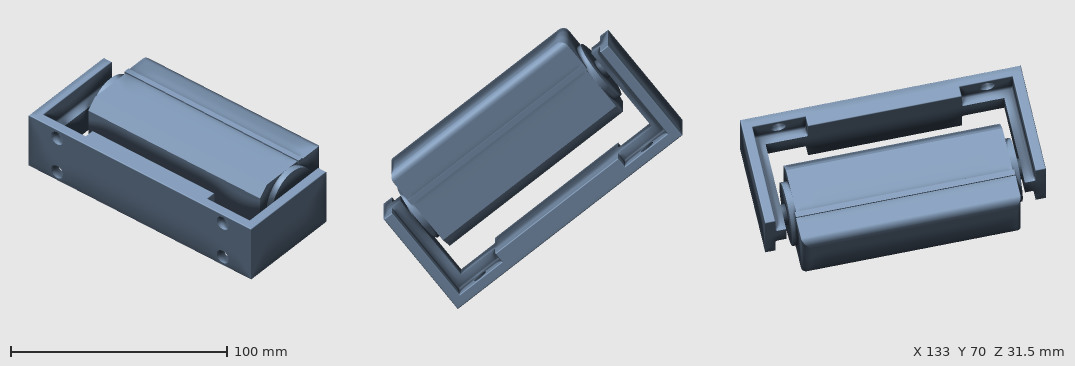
import cadquery as cq

height = 30.0

bracket_width = 133.0
bracket_depth = 54.9
bracket_wall = 10.0
rim_wall = 4.9
web_height = 10.0
pocket_end = 30.0
edge_radius = 0.45
floor_radius = 1.0

hole_diameter = 7.0
hole_spacing_x = 99.0
hole_spacing_z = 20.0

body_width = 102.5
body_front = 25.0
body_chamfer = 5.0
head_width = 104.0
head_back = 70.0
head_radius = 4.0
band_front = 52.4
band_length = 2.8
band_height = 31.5

pivot_y = 45.0
disc_diameter = height
disc_span = 108.8
pin_diameter = 10.0

arm_gap = bracket_width - 2 * bracket_wall


def block(width, y_start, y_end, z_size):
    """Box centred on X and Z, reaching from y_start to y_end."""
    length = y_end - y_start
    return cq.Workplane("XY").box(width, length, z_size).translate((0, y_start + length / 2, 0))


def pivot_cylinder(diameter, length):
    """Cylinder along X, centred on the pivot axis."""
    return (
        cq.Workplane("YZ", origin=(-length / 2, pivot_y, 0))
        .circle(diameter / 2)
        .extrude(length)
    )


def corner_pocket():
    """Cutter for the upper recess in the left corner, with its floor edges rounded."""
    depth = (height - web_height) / 2
    arm_outside = -bracket_width / 2
    footprint = [
        (arm_outside + rim_wall, rim_wall),
        (arm_outside + pocket_end, rim_wall),
        (arm_outside + pocket_end, bracket_wall),
        (arm_outside + bracket_wall, bracket_wall),
        (arm_outside + bracket_wall, bracket_depth),
        (arm_outside + rim_wall, bracket_depth),
    ]
    cutter = cq.Workplane("XY", origin=(0, 0, web_height / 2)).polyline(footprint).close().extrude(depth)
    floor = cutter.faces("<Z")
    walls = floor.edges("<X").add(floor.edges("<Y")).add(floor.edges(">X"))
    return cutter.newObject(walls.vals()).fillet(floor_radius)


def make_bracket():
    bracket = block(bracket_width, 0, bracket_depth, height)
    bracket = bracket.cut(block(arm_gap, bracket_wall, bracket_depth, height))

    upper_left = corner_pocket()
    lower_left = upper_left.mirror("XY")
    for pocket in (upper_left, lower_left):
        bracket = bracket.cut(pocket).cut(pocket.mirror("YZ"))

    bracket = bracket.faces("<Z or >Z").edges().fillet(edge_radius)

    holes = (
        cq.Workplane("XZ")
        .rarray(hole_spacing_x, hole_spacing_z, 2, 2)
        .circle(hole_diameter / 2)
        .extrude(-bracket_wall)
    )
    return bracket.cut(holes)


def make_body():
    body = block(body_width, body_front, band_front, height)
    body = body.faces("<Y").edges("|X").chamfer(body_chamfer)

    head = block(head_width, band_front, head_back, height)
    head = head.faces(">Y").edges().fillet(head_radius)

    band = block(head_width, band_front, band_front + band_length, band_height)
    return body.union(head).union(band)


def make_pivot():
    disc = pivot_cylinder(disc_diameter, disc_span)
    pin = pivot_cylinder(pin_diameter, arm_gap)
    return disc.union(pin)


result = make_bracket().union(make_body()).union(make_pivot())